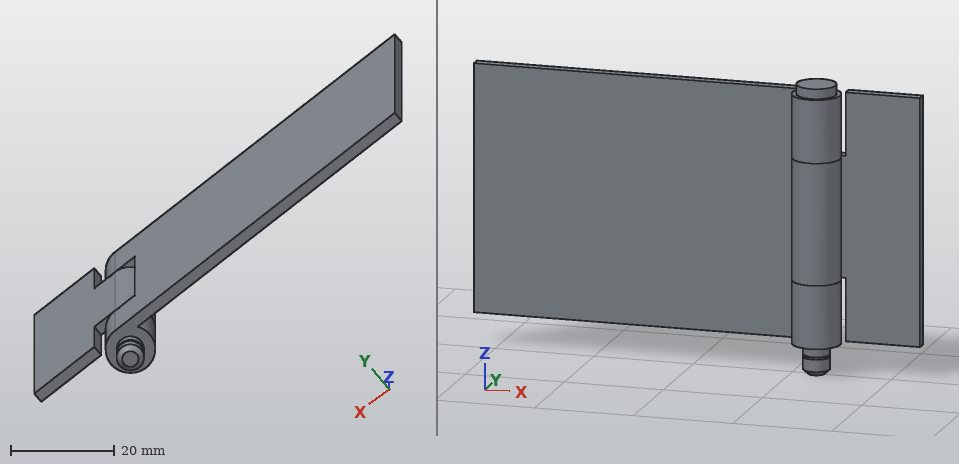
import cadquery as cq

hinge_width = 90.0
long_leaf_reach = 69.9
short_leaf_reach = hinge_width - long_leaf_reach
leaf_height = 49.9
sheet_thickness = 2.2
knuckle_diameter = 9.6
knuckle_radius = knuckle_diameter / 2
bore_radius = knuckle_radius - sheet_thickness
middle_knuckle_height = 24.5
end_knuckle_height = (leaf_height - middle_knuckle_height) / 2
notch_clearance = 0.3
notch_reach = knuckle_radius + notch_clearance

head_diameter = 7.8
head_height = 2.0
tail_length = 6.1
groove_distance = 2.25
groove_width = 0.45
groove_depth = 0.3
tip_chamfer_height = 1.0
tip_chamfer_width = 1.1

bottom_knuckle = (0, end_knuckle_height)
middle_knuckle = (end_knuckle_height, middle_knuckle_height)
top_knuckle = (end_knuckle_height + middle_knuckle_height, end_knuckle_height)


def rolled_strip(side, reach, base, height):
    """Flat strip tangent to its knuckle at the back; side is -1 for left, +1 for right."""
    strip = (
        cq.Workplane("XY", origin=(side * reach / 2, bore_radius, base))
        .box(reach, sheet_thickness, height, centered=(True, False, False))
    )
    barrel = cq.Workplane("XY", origin=(0, 0, base)).circle(knuckle_radius).extrude(height)
    bore = cq.Workplane("XY", origin=(0, 0, base)).circle(bore_radius).extrude(height)
    return strip.union(barrel).cut(bore)


def make_leaf(side, reach, knuckles):
    """Leaf plate that stops clear of the pin, joined to its rolled knuckles."""
    plate_length = reach - notch_reach
    leaf = (
        cq.Workplane("XY", origin=(side * (notch_reach + plate_length / 2), bore_radius, 0))
        .box(plate_length, sheet_thickness, leaf_height, centered=(True, False, False))
    )
    for base, height in knuckles:
        leaf = leaf.union(rolled_strip(side, reach, base, height))
    return leaf


def make_pin():
    """Headed pin with a retaining groove and a chamfered tip, turned about Z."""
    head_radius = head_diameter / 2
    groove_radius = bore_radius - groove_depth
    groove_top = -groove_distance
    groove_bottom = groove_top - groove_width
    profile = [
        (0, leaf_height + head_height),
        (head_radius, leaf_height + head_height),
        (head_radius, leaf_height),
        (bore_radius, leaf_height),
        (bore_radius, groove_top),
        (groove_radius, groove_top),
        (groove_radius, groove_bottom),
        (bore_radius, groove_bottom),
        (bore_radius, tip_chamfer_height - tail_length),
        (bore_radius - tip_chamfer_width, -tail_length),
        (0, -tail_length),
    ]
    return cq.Workplane("XZ").polyline(profile).close().revolve(360, (0, 0, 0), (0, 1, 0))


long_leaf = make_leaf(-1, long_leaf_reach, [bottom_knuckle, top_knuckle])
short_leaf = make_leaf(1, short_leaf_reach, [middle_knuckle])
pin = make_pin()

result = cq.Compound.makeCompound([long_leaf.val(), short_leaf.val(), pin.val()])